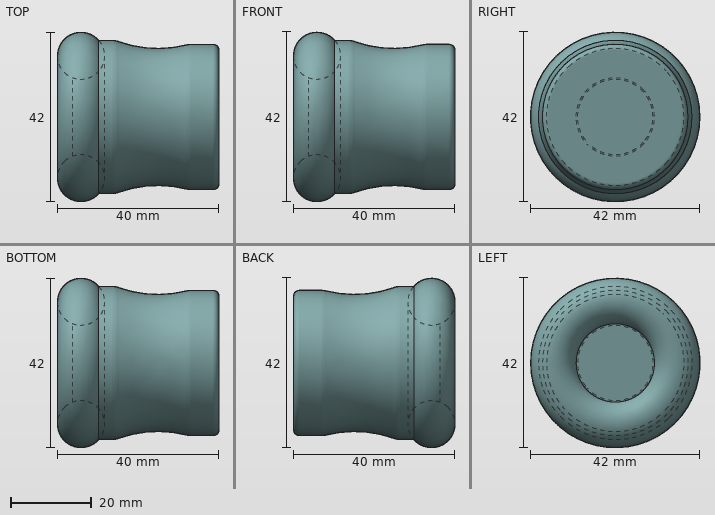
import cadquery as cq

total_length = 40.0
ring_outer_radius = 21.0
ring_tube_radius = 5.85
ring_centre_radius = ring_outer_radius - ring_tube_radius

collar_radius = 38.0 / 2
end_band_radius = 36.0 / 2

collar_end = 13.5
neck_start = 15.28
neck_middle = 24.35
neck_end = 31.8
end_band_start = 32.95

neck_start_radius = 18.65
neck_radius = 17.0
neck_end_radius = 17.85
end_rounding = 1.45

barrel_start = 3.78


def make_ring():
    """Round-section ring whose front touches X = 0."""
    return (
        cq.Workplane("XY")
        .center(ring_tube_radius, ring_centre_radius)
        .circle(ring_tube_radius)
        .revolve(360, (0, -ring_centre_radius, 0), (1, -ring_centre_radius, 0))
    )


def make_barrel(ring):
    """Waisted solid barrel, grooved at the front to seat the ring."""
    body = (
        cq.Workplane("XY")
        .moveTo(barrel_start, 0)
        .lineTo(barrel_start, collar_radius)
        .lineTo(collar_end, collar_radius)
        .tangentArcPoint((neck_start, neck_start_radius), relative=False)
        .threePointArc((neck_middle, neck_radius), (neck_end, neck_end_radius))
        .tangentArcPoint((end_band_start, end_band_radius), relative=False)
        .lineTo(total_length, end_band_radius)
        .lineTo(total_length, 0)
        .close()
        .revolve(360, (0, 0, 0), (1, 0, 0))
        .faces(">X")
        .edges()
        .fillet(end_rounding)
    )
    return body.cut(ring)


ring = make_ring()
barrel = make_barrel(ring)

result = cq.Compound.makeCompound([ring.val(), *barrel.solids().vals()])